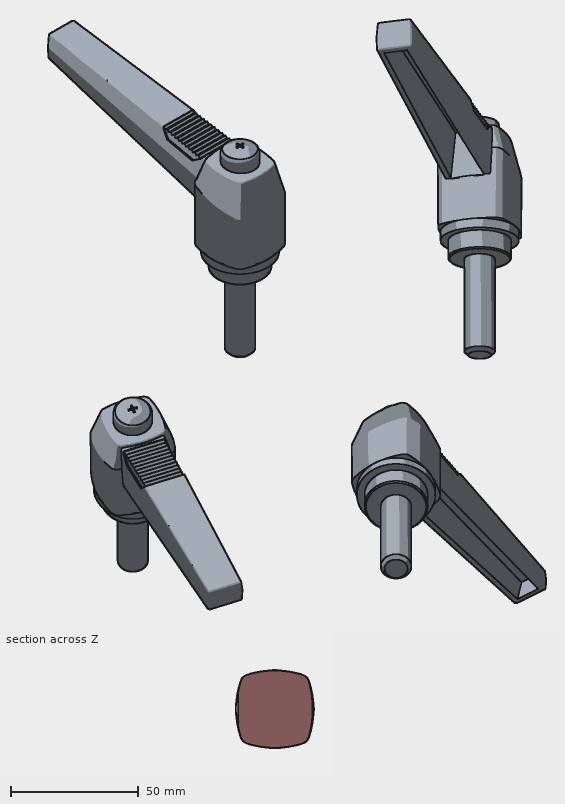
import cadquery as cq
import math


stud_diameter = 12.0
stud_chamfer = 1.5
sleeve_diameter = 24.8
sleeve_chamfer = 0.6
collar_diameter = 30.8
sleeve_bottom = 40.0
collar_bottom = 47.7
hub_bottom = 51.5

crease_height = 78.0
crease_tilt = 12.0
cap_height = 91.0
cap_tilt = 3.6
base_half = 15.3
crease_half = 15.2
cap_half = 11.3
base_corner = 11.0
crease_corner = 11.0
cap_corner = 8.1
base_bulge = 1.9
crease_bulge = 1.5
cap_bulge = 0.9
cap_fillet = 0.8

button_diameter = 15.4
button_shoulder = 95.1
dome_diameter = 13.9
dome_bottom = 96.9
screw_diameter = 7.3
button_top = 98.7
cross_length = 3.5
cross_width = 0.6
cross_depth = 0.9

overall_length = 115.7
tip_x = collar_diameter / 2 - overall_length
tip_top = 105.5
root_x = -9.3
top_slope = math.tan(math.radians(9.6))
crease_slope = math.tan(math.radians(crease_tilt))
tip_bottom = 93.6
bottom_slope = math.tan(math.radians(15.5))
tip_half = 7.5
half_growth = 0.028
upper_draft = 0.1
lower_draft = 0.05
arm_fillet = 1.0

channel_start = tip_x + 2.3
channel_end = -14.3
roof_thickness = 2.5
roof_inset = 4.3
mouth_inset = 2.4
mouth_overshoot = 0.3

groove_count = 11
grip_length = 21.9
groove_pitch = grip_length / groove_count
groove_depth = 0.8
valley_share = 0.4
grip_start = -34.5
grip_end = grip_start + grip_length
grip_tip_height = 94.2
grip_slope = math.tan(math.radians(10.3))
recess_inset = 0.6
recess_height = 3.8
recess_start = -31.7
recess_end = -17.2
cutter_half_width = collar_diameter
clearance = 3.5


def arm_top(x):
    return tip_top - top_slope * (x - tip_x)


def arm_bottom(x):
    return tip_bottom - bottom_slope * (x - tip_x)


def crease_level(x):
    return crease_height - crease_slope * x


def arm_half(x, z):
    """Half width of the arm at place x and height z."""
    widest = tip_half + half_growth * (x - tip_x)
    rise = z - crease_level(x)
    if rise > 0:
        return widest - upper_draft * rise
    return widest + lower_draft * rise


def ruled_loft(*wires):
    return cq.Workplane(obj=cq.Solid.makeLoft(list(wires), True))


def hub_section(height, tilt, half, corner, bulge):
    """Closed outline with four bulged sides and four rounded corners on a tilted plane."""
    tilt_angle = math.radians(tilt)
    plane = cq.Plane(
        origin=(0, 0, height),
        xDir=(math.cos(tilt_angle), 0, -math.sin(tilt_angle)),
        normal=(math.sin(tilt_angle), 0, math.cos(tilt_angle)),
    )
    edge = half - bulge
    return (
        cq.Workplane(plane)
        .moveTo(-corner, -edge)
        .threePointArc((0, -half), (corner, -edge))
        .tangentArcPoint((edge, -corner), relative=False)
        .threePointArc((half, 0), (edge, corner))
        .tangentArcPoint((corner, edge), relative=False)
        .threePointArc((0, half), (-corner, edge))
        .tangentArcPoint((-edge, corner), relative=False)
        .threePointArc((-half, 0), (-edge, -corner))
        .tangentArcPoint((-corner, -edge), relative=False)
        .close()
        .val()
    )


def make_hub():
    base = hub_section(hub_bottom, 0, base_half, base_corner, base_bulge)
    crease = hub_section(crease_height, crease_tilt, crease_half, crease_corner, crease_bulge)
    cap = hub_section(cap_height, cap_tilt, cap_half, cap_corner, cap_bulge)
    upper = ruled_loft(crease, cap).faces(">Z").edges().fillet(cap_fillet)
    return ruled_loft(base, crease).union(upper)


def make_stud_and_collar():
    stud = (
        cq.Workplane()
        .circle(stud_diameter / 2)
        .extrude(hub_bottom)
        .faces("<Z")
        .chamfer(stud_chamfer)
    )
    sleeve = (
        cq.Workplane(origin=(0, 0, sleeve_bottom))
        .circle(sleeve_diameter / 2)
        .extrude(hub_bottom - sleeve_bottom)
        .faces("<Z")
        .chamfer(sleeve_chamfer)
    )
    collar = (
        cq.Workplane(origin=(0, 0, collar_bottom))
        .circle(collar_diameter / 2)
        .extrude(hub_bottom - collar_bottom)
    )
    return stud.union(sleeve).union(collar)


def dome_point(radius):
    """Point of the shallow dome at a radius from the stud axis, as radius and height."""
    drop = (button_top - dome_bottom) * (2 * radius / dome_diameter) ** 2
    return radius, button_top - drop


def make_button():
    shoulder_radius = button_diameter / 2
    dome_radius = dome_diameter / 2
    screw_radius = screw_diameter / 2
    middle_radius = (dome_radius + screw_radius) / 2
    button = (
        cq.Workplane("XZ")
        .moveTo(0, crease_height)
        .lineTo(shoulder_radius, crease_height)
        .lineTo(shoulder_radius, button_shoulder)
        .tangentArcPoint((dome_radius, dome_bottom), relative=False)
        .threePointArc(dome_point(middle_radius), dome_point(screw_radius))
        .threePointArc(dome_point(screw_radius / 2), dome_point(0))
        .close()
        .revolve(360, (0, 0), (0, 1))
    )
    for length, width in ((cross_length, cross_width), (cross_width, cross_length)):
        slot = cq.Workplane().box(length, width, 2 * cross_depth)
        button = button.cut(slot.translate((0, 0, button_top)))
    return button


def arm_section(x, inset=0.0):
    """Hexagon across the arm at x, with its sides moved inwards by the inset."""
    levels = (arm_bottom(x), crease_level(x), arm_top(x))
    right_side = [(x, inset - arm_half(x, z), z) for z in levels]
    left_side = [(x, -y, z) for _, y, z in reversed(right_side)]
    return cq.Wire.makePolygon([cq.Vector(*p) for p in right_side + left_side], close=True)


def channel_section(x):
    roof = arm_top(x) - roof_thickness
    mouth = arm_bottom(x) - mouth_overshoot
    roof_half = arm_half(x, roof) - roof_inset
    mouth_half = arm_half(x, mouth) - mouth_inset
    corners = [
        (x, -mouth_half, mouth),
        (x, -roof_half, roof),
        (x, roof_half, roof),
        (x, mouth_half, mouth),
    ]
    return cq.Wire.makePolygon([cq.Vector(*p) for p in corners], close=True)


def grip_level(x):
    return grip_tip_height - grip_slope * (x - grip_start)


def cut_grip(arm):
    """Cut the cross grooves into the top, then the recess that narrows both sides below them."""
    ceiling = grip_tip_height + clearance
    teeth = [(grip_start, grip_level(grip_start))]
    for i in range(groove_count):
        valley_x = grip_start + (i + valley_share) * groove_pitch
        crest_x = grip_start + (i + 1) * groove_pitch
        teeth.append((valley_x, grip_level(valley_x) - groove_depth))
        teeth.append((crest_x, grip_level(crest_x)))
    above_teeth = (
        cq.Workplane("XZ")
        .polyline(teeth + [(grip_end, ceiling), (grip_start, ceiling)])
        .close()
        .extrude(cutter_half_width, both=True)
    )
    recess_outline = [
        (grip_start, grip_level(grip_start)),
        (recess_start, grip_level(recess_start) - recess_height),
        (recess_end, grip_level(recess_end) - recess_height),
        (grip_end, grip_level(grip_end)),
    ]
    core = ruled_loft(arm_section(tip_x, recess_inset), arm_section(root_x, recess_inset))
    recess = (
        cq.Workplane("XZ")
        .polyline(recess_outline)
        .close()
        .extrude(cutter_half_width, both=True)
        .cut(core)
    )
    return arm.cut(above_teeth).cut(recess)


def make_arm():
    arm = ruled_loft(arm_section(tip_x), arm_section(root_x))
    all_but_root_and_crease = arm.edges("not >X").edges("not (<Y or >Y)")
    return cut_grip(all_but_root_and_crease.fillet(arm_fillet))


def cut_channel(body):
    return body.cut(ruled_loft(channel_section(channel_start), channel_section(channel_end)))


handle = cut_channel(make_hub().union(make_arm()))
result = handle.union(make_stud_and_collar()).union(make_button())